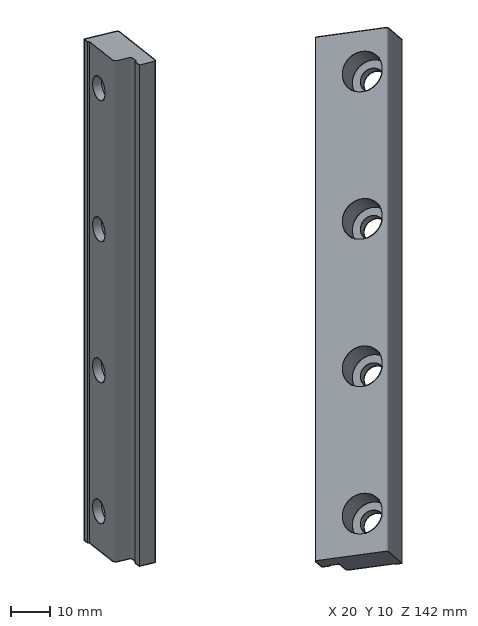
import cadquery as cq

length = 142.0
width = 20.0
thickness = 10.0

body_width = 15.0
lip_thickness = 5.0
flange_thickness = 4.5
lip_width = 2.1
lip_slope = 0.3
ridge_width = 1.7
ridge_height = 0.4
corner_radius = 1.0
back_radius = 0.7
notch_radius = 0.3

hole_count = 4
hole_diameter = 6.5
counterbore_diameter = 11.0
bore_wall = 3.0
hole_x = 7.0
hole_end_distance = 11.1
hole_pitch = (length - 2 * hole_end_distance) / (hole_count - 1)


def make_rail():
    """Extrude the stepped cross-section and round its long edges."""
    lip_start = width - lip_width
    outline = [
        (0, 0),
        (ridge_width, 0),
        (ridge_width + ridge_height, ridge_height),
        (body_width, ridge_height),
        (body_width, thickness - flange_thickness),
        (lip_start - lip_slope, thickness - flange_thickness),
        (lip_start, thickness - lip_thickness),
        (width, thickness - lip_thickness),
        (width, thickness),
        (0, thickness),
    ]
    rail = cq.Workplane("XY").polyline(outline).close().extrude(length)
    front_corner = cq.selectors.NearestToPointSelector((body_width, ridge_height, length / 2))
    rail = rail.edges(front_corner).fillet(corner_radius)
    inner_corner = cq.selectors.NearestToPointSelector(
        (body_width, thickness - flange_thickness, length / 2)
    )
    rail = rail.edges(inner_corner).fillet(notch_radius)
    return rail.faces(">Y").edges("|Z").fillet(back_radius)


def cut_screw_holes(rail):
    """Cut through holes along Y, counterbored from the back."""
    for index in range(hole_count):
        hole_z = hole_end_distance + index * hole_pitch
        centre = cq.Workplane("XZ").center(hole_x, hole_z)
        through_hole = centre.circle(hole_diameter / 2).extrude(-thickness)
        counterbore = (
            centre.workplane(offset=-bore_wall)
            .circle(counterbore_diameter / 2)
            .extrude(bore_wall - thickness)
        )
        rail = rail.cut(through_hole).cut(counterbore)
    return rail


result = cut_screw_holes(make_rail())